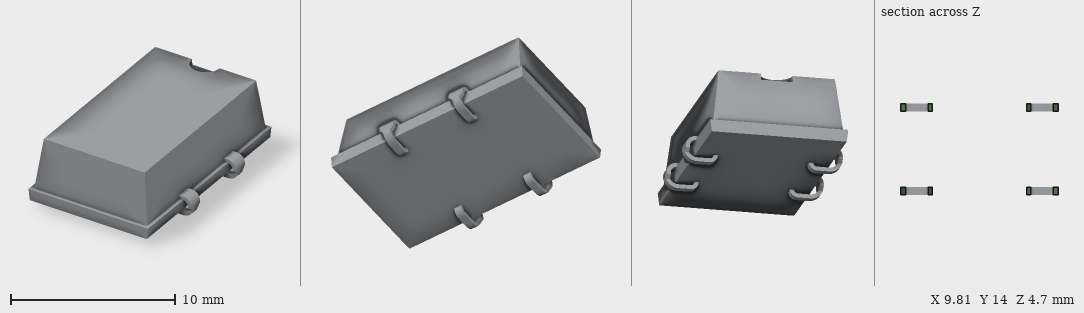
import cadquery as cq
import math

length = 14.0
base_bottom_z = 0.49
base_top_z = 1.26
base_top_half_width = 4.31
base_bottom_half_width = 4.21

cover_top_z = 4.7
cover_bottom_width = 8.12
cover_bottom_length = 13.47
cover_taper_inset = 0.42

notch_radius = 1.0
notch_depth = 0.42
notch_center_y = 6.31

lead_pitch = 5.08
terminal_span = 9.81
strip_thickness = 0.25
joint_z = 0.53

lead_width = 1.01
lead_bend_radius = 0.59
neck_top_z = 0.78

foot_width = 0.5
foot_bend_radius = 0.83
hook_end_x = 2.85

terminal_half_span = terminal_span / 2
lead_top_z = base_top_z + strip_thickness
cover_height = cover_top_z - base_top_z
cover_taper_angle = math.degrees(math.atan(cover_taper_inset / cover_height))


def cover_side_x(z):
    """Half width of the cover at height z."""
    return cover_bottom_width / 2 - cover_taper_inset * (z - base_top_z) / cover_height


def make_base():
    return (
        cq.Workplane("XZ")
        .polyline([
            (-base_bottom_half_width, base_bottom_z),
            (base_bottom_half_width, base_bottom_z),
            (base_top_half_width, base_top_z),
            (-base_top_half_width, base_top_z),
        ])
        .close()
        .extrude(length / 2, both=True)
    )


def make_cover():
    block = (
        cq.Workplane("XY", origin=(0, 0, base_top_z))
        .rect(cover_bottom_width, cover_bottom_length)
        .extrude(cover_height, taper=cover_taper_angle)
    )
    notch = (
        cq.Workplane("XY", origin=(0, notch_center_y, cover_top_z - notch_depth))
        .circle(notch_radius)
        .extrude(notch_depth)
    )
    return block.cut(notch)


def lead_strip():
    """Lead of the +X side at full width, centred on Y = 0."""
    outer = lead_bend_radius
    inner = outer - strip_thickness
    inner_x = terminal_half_span - strip_thickness
    bend_x = terminal_half_span - outer
    bend_z = lead_top_z - outer
    return (
        cq.Workplane("XZ")
        .moveTo(cover_side_x(lead_top_z), lead_top_z)
        .lineTo(bend_x, lead_top_z)
        .radiusArc((terminal_half_span, bend_z), outer)
        .lineTo(terminal_half_span, joint_z)
        .lineTo(inner_x, joint_z)
        .lineTo(inner_x, bend_z)
        .radiusArc((bend_x, base_top_z), -inner)
        .lineTo(cover_side_x(base_top_z), base_top_z)
        .close()
        .extrude(lead_width / 2, both=True)
    )


def lead_outline():
    """Block whose face along X is the lead's shape: wide, necking to the foot width."""
    return (
        cq.Workplane("YZ")
        .polyline([
            (-lead_width / 2, lead_top_z),
            (-lead_width / 2, neck_top_z),
            (-foot_width / 2, joint_z),
            (foot_width / 2, joint_z),
            (lead_width / 2, neck_top_z),
            (lead_width / 2, lead_top_z),
        ])
        .close()
        .extrude(terminal_half_span)
    )


def make_lead():
    return lead_strip().intersect(lead_outline())


def make_foot():
    """Foot of the +X side, centred on Y = 0; its bend meets the lead at a slight angle."""
    outer = foot_bend_radius
    inner = outer - strip_thickness
    joint_drop = foot_bend_radius - joint_z
    bend_x = terminal_half_span - math.sqrt(outer**2 - joint_drop**2)
    inner_joint_x = bend_x + math.sqrt(inner**2 - joint_drop**2)
    hook_outer = base_bottom_z
    hook_inner = hook_outer - strip_thickness
    hook_x = hook_end_x + hook_outer
    return (
        cq.Workplane("XZ")
        .moveTo(terminal_half_span, joint_z)
        .radiusArc((bend_x, 0), outer)
        .lineTo(hook_x, 0)
        .radiusArc((hook_end_x, base_bottom_z), hook_outer)
        .lineTo(hook_end_x + strip_thickness, base_bottom_z)
        .radiusArc((hook_x, strip_thickness), -hook_inner)
        .lineTo(bend_x, strip_thickness)
        .radiusArc((inner_joint_x, joint_z), -inner)
        .close()
        .extrude(foot_width / 2, both=True)
    )


def place_on_sides(part):
    """Four copies of a +X side part: two along each long side."""
    copies = []
    for turn in (0, 180):
        turned = part.rotate((0, 0, 0), (0, 0, 1), turn)
        for y in (-lead_pitch / 2, lead_pitch / 2):
            copies.append(turned.translate((0, y, 0)).solids().val())
    return copies


base = make_base()
cover = make_cover()
leads = place_on_sides(make_lead())
feet = place_on_sides(make_foot())

result = cq.Compound.makeCompound([base.solids().val(), cover.solids().val(), *leads, *feet])